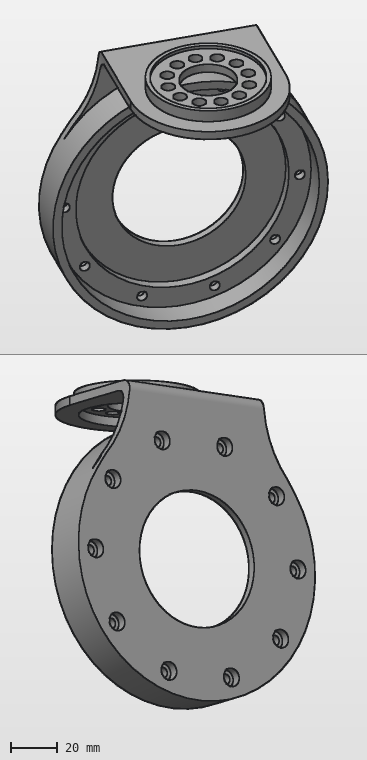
import cadquery as cq
import math

plate_thickness = 4.0
disc_radius = 62.0
window_diameter = 60.0

rim_depth = 20.0
rim_inner_radius = 58.0

screw_count = 10
screw_circle_radius = 53.0
screw_first_angle = 2.0
screw_diameter = 4.5
screw_head_diameter = 8.0
screw_head_depth = 4.5

ledge_inner_radius = 48.0
ledge_back = screw_head_depth + plate_thickness

flange_top = 75.0
flange_half_width = 35.0
flange_center_x = 45.0
bend_outer_radius = 5.0
bend_inner_radius = 5.0

neck_tangent_angle = 33.4
neck_tangent_length = 7.4
neck_arc_radius = 53.0

boss_diameter = 54.0
boss_height = 5.5
recess_diameter = 50.0
recess_depth = 1.5
web_thickness = 4.0
bore_diameter = 25.0
ring_hole_count = 12
ring_hole_diameter = 6.0
ring_hole_circle_radius = 18.0

flange_bottom = flange_top - plate_thickness
boss_top = flange_top + boss_height
web_top = boss_top - recess_depth
web_bottom = web_top - web_thickness


def x_cylinder(radius, start, length, y=0.0, z=0.0):
    """Cylinder along +X from x = start."""
    return cq.Workplane("YZ", origin=(start, y, z)).circle(radius).extrude(length)


def z_cylinder(radius, bottom, top, x, y=0.0):
    """Cylinder along Z between two heights."""
    return cq.Workplane("XY", origin=(x, y, bottom)).circle(radius).extrude(top - bottom)


def make_neck_outline():
    """Width of the sheet up to the flange top; the lower edge lies inside the disc."""
    angle = math.radians(neck_tangent_angle)
    radial_y = math.cos(angle)
    radial_z = math.sin(angle)
    tangent_y = disc_radius * radial_y
    tangent_z = disc_radius * radial_z
    arc_y = tangent_y - neck_tangent_length * radial_z
    arc_z = tangent_z + neck_tangent_length * radial_y
    return (
        cq.Workplane("YZ")
        .moveTo(flange_half_width, flange_top)
        .radiusArc((arc_y, arc_z), -neck_arc_radius)
        .lineTo(tangent_y, tangent_z)
        .lineTo(-tangent_y, tangent_z)
        .lineTo(-arc_y, arc_z)
        .radiusArc((-flange_half_width, flange_top), -neck_arc_radius)
        .close()
    )


def make_bent_sheet():
    """L-shaped sheet with rounded bend, wider than the part."""
    return (
        cq.Workplane("XZ")
        .lineTo(plate_thickness, 0)
        .lineTo(plate_thickness, flange_bottom - bend_inner_radius)
        .radiusArc((plate_thickness + bend_inner_radius, flange_bottom), bend_inner_radius)
        .lineTo(flange_center_x, flange_bottom)
        .lineTo(flange_center_x, flange_top)
        .lineTo(bend_outer_radius, flange_top)
        .radiusArc((0, flange_top - bend_outer_radius), -bend_outer_radius)
        .close()
        .extrude(disc_radius, both=True)
    )


def make_bracket():
    """Neck and flange bent from one sheet, with a round flange end."""
    sheet = make_neck_outline().extrude(flange_center_x).intersect(make_bent_sheet())
    return sheet.union(z_cylinder(flange_half_width, flange_bottom, flange_top, flange_center_x))


def make_disc():
    """Round plate with a rim behind it, stepped inside by the screw ledge."""
    disc = x_cylinder(disc_radius, 0, rim_depth)
    disc = disc.cut(x_cylinder(window_diameter / 2, 0, plate_thickness))
    disc = disc.cut(x_cylinder(ledge_inner_radius, plate_thickness, ledge_back - plate_thickness))
    return disc.cut(x_cylinder(rim_inner_radius, ledge_back, rim_depth - ledge_back))


def cut_screw_holes(body):
    """Counterbored holes evenly spaced around the disc."""
    for index in range(screw_count):
        angle = math.radians(screw_first_angle + index * 360 / screw_count)
        y = -screw_circle_radius * math.cos(angle)
        z = screw_circle_radius * math.sin(angle)
        body = body.cut(x_cylinder(screw_diameter / 2, 0, ledge_back, y, z))
        body = body.cut(x_cylinder(screw_head_diameter / 2, 0, screw_head_depth, y, z))
    return body


def cut_boss_openings(body):
    """Recesses above and below a thin web, with a bore and a ring of holes through the web."""
    body = body.cut(z_cylinder(recess_diameter / 2, web_top, boss_top, flange_center_x))
    body = body.cut(z_cylinder(recess_diameter / 2, flange_bottom, web_bottom, flange_center_x))
    body = body.cut(z_cylinder(bore_diameter / 2, web_bottom, web_top, flange_center_x))
    for index in range(ring_hole_count):
        angle = math.radians(index * 360 / ring_hole_count)
        x = flange_center_x + ring_hole_circle_radius * math.cos(angle)
        y = ring_hole_circle_radius * math.sin(angle)
        body = body.cut(z_cylinder(ring_hole_diameter / 2, web_bottom, web_top, x, y))
    return body


boss = z_cylinder(boss_diameter / 2, flange_top, boss_top, flange_center_x)
body = make_disc().union(make_bracket()).union(boss).clean()
body = cut_screw_holes(body)
result = cut_boss_openings(body)